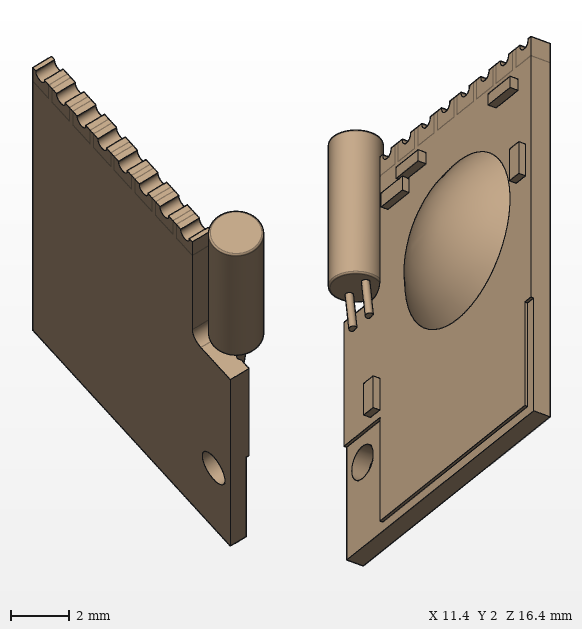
import cadquery as cq
import math

board_width = 11.42
board_height = 15.26
board_thickness = 0.8

neck_width = 9.23
notch_floor = 9.67
notch_radius = 0.49

hole_diameter = 1.31
hole_x = 10.45
hole_z = 3.47

recess_depth = 0.11
recess_top = 4.6
panel_margin = 0.38

contact_count = 8
contact_pitch = 1.2
groove_radius = 0.25
groove_depth = 0.3
pad_width = 1.0
pad_height = 0.79

dome_x = 4.49
dome_z = 9.31
dome_base_radius = 3.21
total_depth = 2.0
dome_height = total_depth - board_thickness

can_diameter = 1.9
can_top = 16.39
can_bottom = 10.52
can_x = board_width - can_diameter / 2
can_y = can_diameter / 2
can_edge_radius = 0.07
lead_diameter = 0.3
lead_spacing = 1.0
lead_lean = 0.13
lead_overlap = 0.65
lead_seat = 0.07
lead_embed = 0.16

large_chip_length = 1.35
large_chip_width = 0.46
large_chip_height = 0.33
small_chip_length = 1.3
small_chip_width = 0.57
small_chip_height = 0.28
large_chip_z = 13.47
large_chip_starts = (0.79, 6.41)
lying_chip_corner = (7.44, 12.85)
standing_chip_corners = ((0.33, 9.74), (9.23, 4.92))


def block(x, y, z, length, depth, height):
    """Box with its lowest corner at (x, y, z)."""
    return cq.Workplane("XY").box(length, depth, height, centered=False).translate((x, y, z))


def rod_along_y(x, z, radius):
    """Round cutter through the full board thickness."""
    return cq.Workplane("XZ", origin=(x, 0, z)).circle(radius).extrude(-board_thickness)


def make_board():
    board = block(0, 0, 0, board_width, board_thickness, board_height)
    notch_width = board_width - neck_width
    notch_height = board_height - notch_floor
    notch = block(neck_width, 0, notch_floor, notch_width, board_thickness, notch_height)
    board = board.cut(notch)
    inner_corner = cq.selectors.NearestToPointSelector((neck_width, board_thickness / 2, notch_floor))
    board = board.edges(inner_corner).fillet(notch_radius)
    board = board.cut(rod_along_y(hole_x, hole_z, hole_diameter / 2))
    recess_y = board_thickness - recess_depth
    recess = block(0, recess_y, 0, board_width, recess_depth, recess_top)
    panel_width = neck_width - panel_margin
    panel_height = recess_top - panel_margin
    panel = block(panel_margin, recess_y, panel_margin, panel_width, recess_depth, panel_height)
    return board.cut(recess.cut(panel))


def contact_centers():
    first = (neck_width - (contact_count - 1) * contact_pitch) / 2
    return [first + i * contact_pitch for i in range(contact_count)]


def cut_grooves(board):
    groove_z = board_height - groove_depth + groove_radius
    for x in contact_centers():
        board = board.cut(rod_along_y(x, groove_z, groove_radius))
        mouth = block(x - groove_radius, 0, groove_z, 2 * groove_radius, board_thickness, groove_depth)
        board = board.cut(mouth)
    return board


def make_dome():
    sphere_radius = (dome_base_radius**2 + dome_height**2) / (2 * dome_height)
    center_y = total_depth - sphere_radius
    half_angle = math.asin(dome_base_radius / sphere_radius) / 2
    arc_middle = (sphere_radius * math.sin(half_angle), center_y + sphere_radius * math.cos(half_angle))
    profile = (
        cq.Workplane("XY")
        .moveTo(0, board_thickness)
        .lineTo(dome_base_radius, board_thickness)
        .threePointArc(arc_middle, (0, total_depth))
        .close()
    )
    return profile.revolve(360, (0, 0, 0), (0, 1, 0)).translate((dome_x, 0, dome_z))


def make_can():
    can = cq.Workplane("XY", origin=(can_x, can_y, can_bottom)).circle(can_diameter / 2)
    return can.extrude(can_top - can_bottom).edges("%CIRCLE").fillet(can_edge_radius)


def make_lead(x):
    """Leaning lead that leaves the can at x and runs down the back of the board."""
    slope = lead_lean / (can_bottom - notch_floor)
    start_z = can_bottom + lead_embed
    end_z = notch_floor - lead_overlap
    lead_y = board_thickness + lead_diameter / 2 - lead_seat
    start = cq.Vector(x + slope * lead_embed, lead_y, start_z)
    path = cq.Vector(slope * (end_z - start_z), 0, end_z - start_z)
    return cq.Workplane(cq.Solid.makeCylinder(lead_diameter / 2, path.Length, start, path))


def make_chips():
    chips = []
    for x in large_chip_starts:
        chip = block(x, board_thickness, large_chip_z, large_chip_length, large_chip_height, large_chip_width)
        chips.append(chip)
    x, z = lying_chip_corner
    chips.append(block(x, board_thickness, z, small_chip_length, small_chip_height, small_chip_width))
    for x, z in standing_chip_corners:
        chips.append(block(x, board_thickness, z, small_chip_width, small_chip_height, small_chip_length))
    return chips


def add_contact_pads(body):
    """Divide the top strip into flush pads, keeping the seams around each pad."""
    for x in contact_centers():
        left = max(x - pad_width / 2, 0)
        right = min(x + pad_width / 2, neck_width)
        pad_z = board_height - pad_height
        region = block(left, 0, pad_z, right - left, board_thickness, pad_height)
        pad = body.intersect(region)
        body = body.cut(region, clean=False).union(pad, clean=False)
    return body


body = cut_grooves(make_board()).union(make_dome()).union(make_can())
for side in (-1, 1):
    body = body.union(make_lead(can_x + side * lead_spacing / 2))
for chip in make_chips():
    body = body.union(chip)

result = add_contact_pads(body)